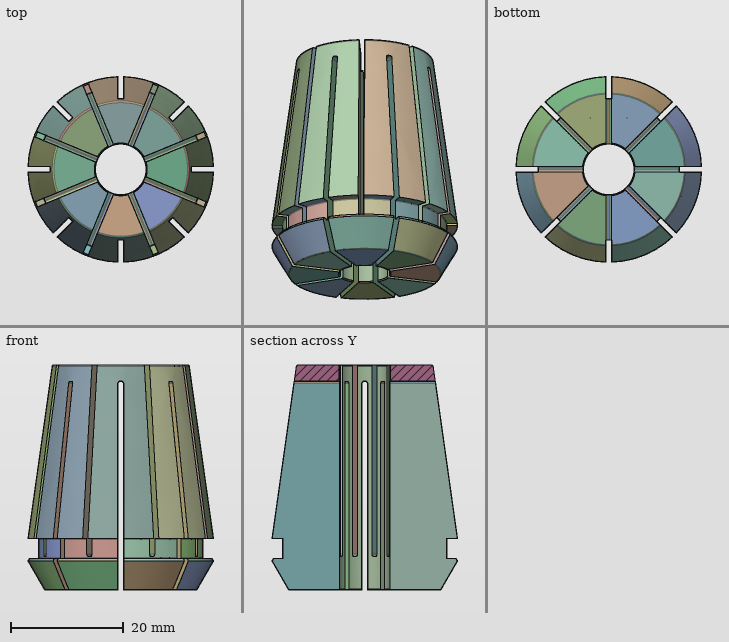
import cadquery as cq
import math

TOTAL_HEIGHT = 40.0
RIM_HEIGHT = 5.15
FLANGE_TOP = 5.6
TAPER_BOTTOM = 9.1
BOTTOM_SLOT_END = 37.1
TOP_SLOT_END = 5.95

MAX_RADIUS = 33.0 / 2
GROOVE_RADIUS = 29.2 / 2
BORE_RADIUS = 9.0 / 2
TAPER_ANGLE = 8.0
NOSE_ANGLE = 30.0

RIM_CHAMFER = 0.3
TOP_FILLET = 0.3
GROOVE_FILLET = 0.1
BOTTOM_FILLET = 0.2
BORE_CHAMFER = 0.2

SLOT_WIDTH = 1.0
SLOT_CORNER_RADIUS = 0.4
SLOTS_PER_SIDE = 8

TOP_RADIUS = MAX_RADIUS - (TOTAL_HEIGHT - TAPER_BOTTOM) * math.tan(math.radians(TAPER_ANGLE))
NOSE_RADIUS = MAX_RADIUS - RIM_HEIGHT * math.tan(math.radians(NOSE_ANGLE))


def circular_edges_at(height, radius):
    """Selector box around the circle of the given radius at the given height."""
    margin = 0.05
    reach = radius + margin
    return cq.selectors.BoxSelector(
        (-reach, -reach, height - margin), (reach, reach, height + margin), boundingbox=True
    )


def collet_body():
    """Solid of revolution: nose flange, groove and long taper."""
    outline = [
        (0, 0),
        (NOSE_RADIUS, 0),
        (MAX_RADIUS, RIM_HEIGHT),
        (MAX_RADIUS - RIM_CHAMFER, FLANGE_TOP),
        (GROOVE_RADIUS, FLANGE_TOP),
        (GROOVE_RADIUS, TAPER_BOTTOM),
        (MAX_RADIUS, TAPER_BOTTOM),
        (TOP_RADIUS, TOTAL_HEIGHT),
        (0, TOTAL_HEIGHT),
    ]
    body = cq.Workplane("XZ").polyline(outline).close().revolve(360, (0, 0), (0, 1))
    body = body.edges(circular_edges_at(TOTAL_HEIGHT, TOP_RADIUS)).fillet(TOP_FILLET)
    body = body.edges(circular_edges_at(0, NOSE_RADIUS)).fillet(BOTTOM_FILLET)
    for height in (FLANGE_TOP, TAPER_BOTTOM):
        body = body.edges(circular_edges_at(height, GROOVE_RADIUS)).fillet(GROOVE_FILLET)
    return body


def bore():
    """Through bore with a small chamfer at both mouths."""
    mouth_radius = BORE_RADIUS + BORE_CHAMFER
    outline = [
        (0, 0),
        (mouth_radius, 0),
        (BORE_RADIUS, BORE_CHAMFER),
        (BORE_RADIUS, TOTAL_HEIGHT - BORE_CHAMFER),
        (mouth_radius, TOTAL_HEIGHT),
        (0, TOTAL_HEIGHT),
    ]
    return cq.Workplane("XZ").polyline(outline).close().revolve(360, (0, 0), (0, 1))


def slot_cutter(low, high, closed_end):
    """Saw blade across the full diameter along Y, rounded at the closed end (">Z" or "<Z")."""
    blade_length = 2.5 * MAX_RADIUS
    blade = cq.Workplane("XY").box(SLOT_WIDTH, blade_length, high - low, centered=(True, True, False))
    blade = blade.faces(closed_end).edges("|Y").fillet(SLOT_CORNER_RADIUS)
    return blade.translate((0, 0, low))


def cut_slots(body, cutter, first_angle):
    """Each cut spans the diameter, so half as many cuts make all the slots."""
    pitch = 360 / SLOTS_PER_SIDE
    for index in range(SLOTS_PER_SIDE // 2):
        angle = first_angle + index * pitch
        body = body.cut(cutter.rotate((0, 0, 0), (0, 0, 1), angle))
    return body


result = collet_body().cut(bore())
result = cut_slots(result, slot_cutter(0, BOTTOM_SLOT_END, ">Z"), 0)
result = cut_slots(result, slot_cutter(TOP_SLOT_END, TOTAL_HEIGHT, "<Z"), 180 / SLOTS_PER_SIDE)